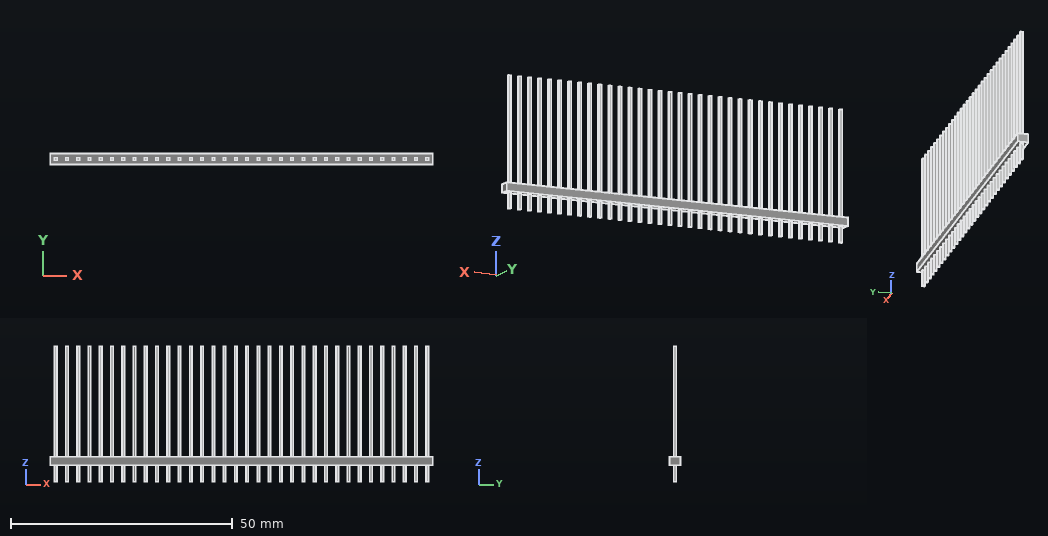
import cadquery as cq

strip_length = 86.4
strip_width = 2.5
strip_height = 2.0

pin_count = 34
pin_pitch = strip_length / pin_count
pin_side = 0.6
pin_length = 30.7
pin_tail = 3.7

strip = cq.Workplane("XY").box(strip_length, strip_width, strip_height, centered=(True, True, False))

pins = (
    cq.Workplane("XY")
    .workplane(offset=-pin_tail)
    .rarray(xSpacing=pin_pitch, ySpacing=pin_pitch, xCount=pin_count, yCount=1)
    .rect(pin_side, pin_side)
    .extrude(pin_length)
)

result = strip.union(pins)